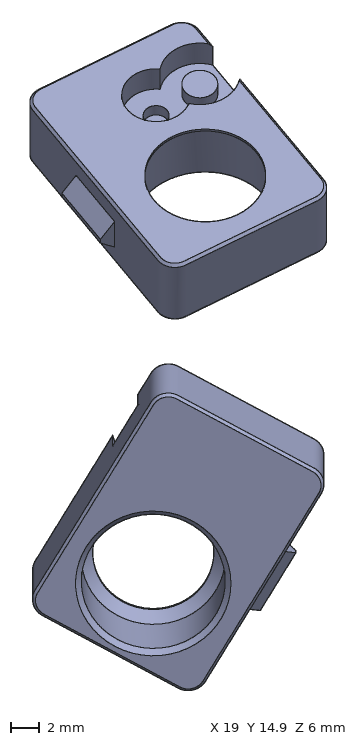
import cadquery as cq

length = 19.0
width = 13.7
height = 6.0
corner_radius = 1.4
edge_chamfer = 0.2
top = height / 2

latch_length = 5.0
latch_reach = 1.18
latch_tip = 0.4
latch_base = latch_tip + 2 * latch_reach

opening_x = 3.5
lip_diameter = 8.44
bore_diameter = 10.03
lip_thickness = 0.2
mouth_chamfer = 0.4

pocket_x = -4.5
pocket_depth = 2.2
pocket_floor = top - pocket_depth
large_lobe_y = 4.65
large_lobe_diameter = 5.6
small_lobe_y = 1.05
small_lobe_diameter = 4.8
pin_diameter = 2.5
pin_recess = 1.1
blind_hole_diameter = 1.8
blind_hole_depth = 1.0


def cylinder(x, y, bottom, diameter, tall):
    """Vertical cylinder standing on the height `bottom`."""
    return cq.Workplane("XY", origin=(x, y, bottom)).circle(diameter / 2).extrude(tall)


def make_block():
    block = cq.Workplane("XY").box(length, width, height)
    block = block.edges("|Z").fillet(corner_radius)
    return block.faces("<Z or >Z").edges().chamfer(edge_chamfer)


def make_latch():
    front = -width / 2
    profile = [
        (front, -latch_base / 2),
        (front - latch_reach, -latch_tip / 2),
        (front - latch_reach, latch_tip / 2),
        (front, latch_base / 2),
    ]
    return cq.Workplane("YZ").polyline(profile).close().extrude(latch_length / 2, both=True)


def make_opening():
    lip_radius = lip_diameter / 2
    bore_radius = bore_diameter / 2
    flare_top = top - lip_thickness
    flare_bottom = flare_top - (bore_radius - lip_radius)
    profile = [
        (0, top),
        (lip_radius, top),
        (lip_radius, flare_top),
        (bore_radius, flare_bottom),
        (bore_radius, -top + mouth_chamfer),
        (bore_radius + mouth_chamfer, -top),
        (0, -top),
    ]
    opening = cq.Workplane("XZ").polyline(profile).close().revolve(360, (0, 0, 0), (0, 1, 0))
    return opening.translate((opening_x, 0, 0))


def make_pocket():
    large_lobe = cylinder(pocket_x, large_lobe_y, pocket_floor, large_lobe_diameter, pocket_depth)
    small_lobe = cylinder(pocket_x, small_lobe_y, pocket_floor, small_lobe_diameter, pocket_depth)
    pin = cylinder(pocket_x, large_lobe_y, pocket_floor, pin_diameter, pocket_depth - pin_recess)
    hole_bottom = pocket_floor - blind_hole_depth
    hole = cylinder(pocket_x, small_lobe_y, hole_bottom, blind_hole_diameter, blind_hole_depth)
    return large_lobe.union(small_lobe).cut(pin).union(hole)


result = make_block().union(make_latch()).cut(make_opening()).cut(make_pocket())